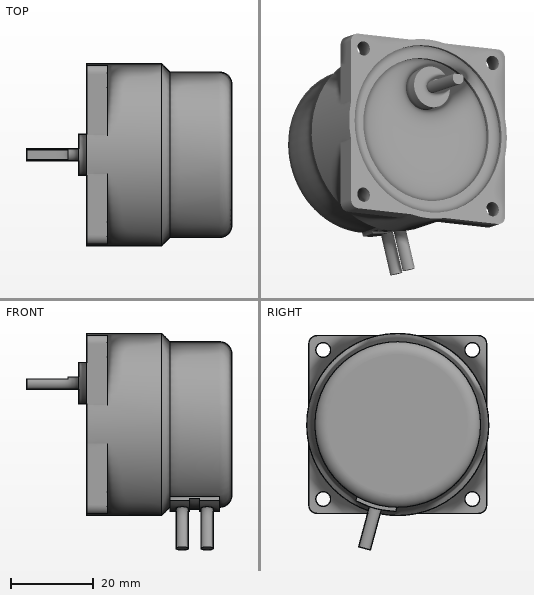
import cadquery as cq
import math


front_radius = 22.0
rear_radius = 20.0
front_length = 18.1
shoulder_end = front_length + front_radius - rear_radius
body_length = 35.1
rear_edge_radius = 3.0

flange_side = 43.0
flange_thickness = 5.0
flange_corner_radius = 2.0
mount_hole_spacing = 36.0
mount_hole_diameter = 3.5

outer_recess_radius = 20.5
inner_recess_radius = 17.5
recess_step = 1.0
recess_floor = 2 * recess_step

shaft_offset = 10.0
boss_radius = 5.0
boss_height = 1.9
shaft_radius = 1.5
shaft_length = 14.5
shaft_flat_length = 10.0
shaft_flat_height = 1.0

outlet_tilt = 15.0
pad_radius = 21.0
pad_width = 10.0
pad_end = body_length - rear_edge_radius
pad_length = pad_end - shoulder_end
notch_radius = 20.5
notch_width = 2.4
cable_radius = 1.5
cable_spacing = 6.0
cable_reach = 31.0
outlet_middle = (shoulder_end + pad_end) / 2


def x_cylinder(radius, x_start, x_end, z_center=0.0):
    """Cylinder parallel to X between two X positions."""
    start = cq.Workplane("YZ", origin=(x_start, 0, z_center))
    return start.circle(radius).extrude(x_end - x_start)


def motor_body():
    half_profile = (
        cq.Workplane("XZ")
        .lineTo(0, front_radius)
        .lineTo(front_length, front_radius)
        .lineTo(shoulder_end, rear_radius)
        .lineTo(body_length - rear_edge_radius, rear_radius)
        .radiusArc((body_length, rear_radius - rear_edge_radius), rear_edge_radius)
        .lineTo(body_length, 0)
        .close()
    )
    return half_profile.revolve(360, (0, 0, 0), (1, 0, 0))


def flange():
    plate = cq.Workplane("YZ").rect(flange_side, flange_side).extrude(flange_thickness)
    return plate.edges("|X").fillet(flange_corner_radius)


def mount_holes():
    return (
        cq.Workplane("YZ")
        .rect(mount_hole_spacing, mount_hole_spacing, forConstruction=True)
        .vertices()
        .circle(mount_hole_diameter / 2)
        .extrude(flange_thickness)
    )


def face_recess():
    outer = x_cylinder(outer_recess_radius, 0, recess_step)
    inner = x_cylinder(inner_recess_radius, 0, recess_floor)
    return outer.union(inner)


def output_shaft():
    boss = x_cylinder(boss_radius, -boss_height, recess_floor, shaft_offset)
    shaft = x_cylinder(shaft_radius, -shaft_length, recess_floor, shaft_offset)
    flat_cut = cq.Workplane("XY").box(
        shaft_flat_length, 2 * shaft_radius, shaft_radius, centered=(False, True, False)
    ).translate((-shaft_length, 0, shaft_offset + shaft_flat_height))
    return boss.union(shaft.cut(flat_cut))


def pad_section(radius, x_length):
    """Lower part of a cylinder about the motor axis, trimmed to the pad width."""
    x_start = outlet_middle - x_length / 2
    trim = cq.Workplane("XY").box(
        x_length, pad_width, radius, centered=(False, True, False)
    ).translate((x_start, 0, -radius))
    return x_cylinder(radius, x_start, x_start + x_length).intersect(trim)


def cable_outlet():
    lands_length = (pad_length - notch_width) / 2
    land_shift = (notch_width + lands_length) / 2
    outlet = pad_section(notch_radius, pad_length)
    for side in (-1, 1):
        land = pad_section(pad_radius, lands_length).translate((side * land_shift, 0, 0))
        cable = (
            cq.Workplane("XY")
            .center(outlet_middle + side * cable_spacing / 2, 0)
            .circle(cable_radius)
            .extrude(-cable_reach)
        )
        outlet = outlet.union(land).union(cable)
    return outlet.rotate((0, 0, 0), (1, 0, 0), -outlet_tilt)


housing = motor_body().union(flange()).cut(mount_holes()).cut(face_recess())
result = housing.union(output_shaft()).union(cable_outlet())